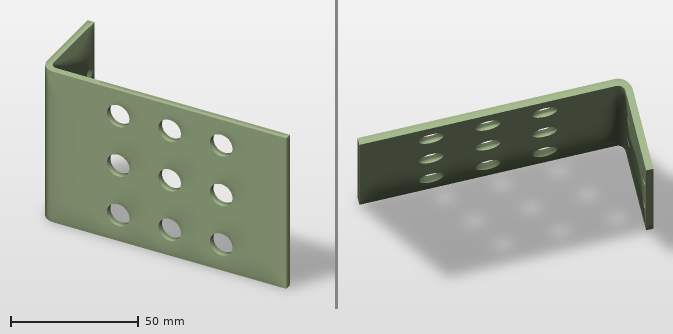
import cadquery as cq

length = 110.0
depth = 40.0
height = 70.0
thickness = 3.0
bend_outer_radius = 6.0
bend_inner_radius = bend_outer_radius - thickness

large_hole_diameter = 10.0
large_hole_pitch = 23.0
large_hole_count = 3
large_grid_center_x = 58.0

small_hole_diameter = 5.0
small_hole_pitch = 26.0
small_hole_count = 2
small_hole_edge_distance = 4.0
small_grid_center_y = depth - small_hole_edge_distance - small_hole_pitch / 2


def bent_sheet():
    """L-shaped sheet with its outer corner at the origin, extruded along Z."""
    block = cq.Workplane("XY").box(length, depth, height, centered=False)
    block = block.edges("|Z and <X and <Y").fillet(bend_outer_radius)
    inside = (
        cq.Workplane("XY")
        .box(length, depth, height, centered=False)
        .edges("|Z and <X and <Y")
        .fillet(bend_inner_radius)
        .translate((thickness, thickness, 0))
    )
    return block.cut(inside)


def hole_grid(plane, center, pitch, count, diameter, reach):
    """Square grid of cylinders centred on the plane, reaching to both sides."""
    return (
        cq.Workplane(plane)
        .center(*center)
        .rarray(pitch, pitch, count, count)
        .circle(diameter / 2)
        .extrude(reach, both=True)
    )


large_holes = hole_grid(
    "XZ",
    (large_grid_center_x, height / 2),
    large_hole_pitch,
    large_hole_count,
    large_hole_diameter,
    2 * thickness,
)
small_holes = hole_grid(
    "YZ",
    (small_grid_center_y, height / 2),
    small_hole_pitch,
    small_hole_count,
    small_hole_diameter,
    2 * thickness,
)

result = bent_sheet().cut(large_holes).cut(small_holes)